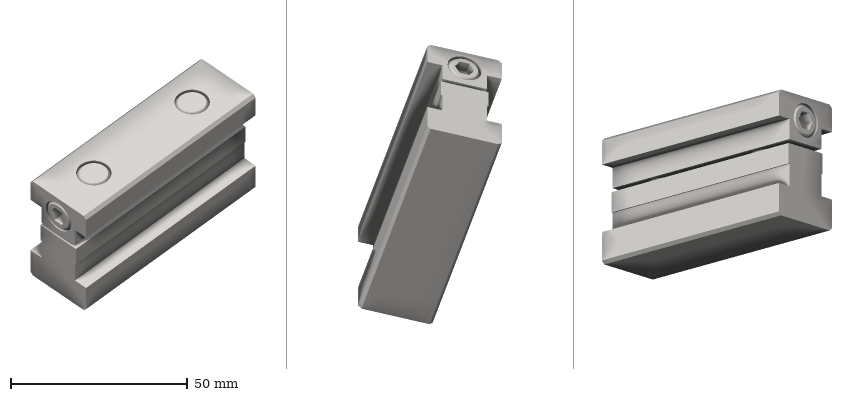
import cadquery as cq
import math

length = 69.0
width = 22.0
height = 37.3
edge_chamfer = 1.0

flange_top = 9.4
land_bottom = 16.1
rail_top = 22.15
jaw_bottom = 23.4
wing_bottom = 29.4
neck_width = 13.2
land_width = 14.0

fastener_diameter = 10.0
end_chamfer = 1.0
chamfer_angle = 45.0
pin_spacing = 40.0

screw_height = 30.35
hex_sides = 6
hex_flats = 5.0
hex_depth = 3.0
hex_corners = hex_flats / math.cos(math.pi / hex_sides)
drill_slope = math.radians(30)
drill_point_depth = hex_corners / 2 * math.tan(drill_slope)


def bar(bar_width, bottom, top):
    """Full-length rectangular bar centred on X and Y."""
    return cq.Workplane("XY", origin=(0, 0, bottom)).rect(bar_width, length).extrude(top - bottom)


def end_groove(plane):
    """Ring left around a chamfered fastener end inside its flush hole."""
    hole = plane.circle(fastener_diameter / 2).extrude(-end_chamfer)
    end_face_radius = fastener_diameter / 2 - end_chamfer
    fastener = plane.circle(end_face_radius).extrude(-end_chamfer, taper=-chamfer_angle)
    return hole.cut(fastener)


def make_rail():
    flange = bar(width, 0, flange_top).faces("<Z").edges("|Y").chamfer(edge_chamfer)
    neck = bar(neck_width, flange_top, land_bottom)
    land = bar(land_width, land_bottom, rail_top)
    return flange.union(neck).union(land)


def make_jaw():
    wings = bar(width, wing_bottom, height).faces(">Z").edges("|Y").chamfer(edge_chamfer)
    neck = bar(neck_width, jaw_bottom, wing_bottom)
    return wings.union(neck)


def make_hex_socket(plane):
    """Hexagonal socket ending in a conical drill point."""
    hexagon = plane.polygon(hex_sides, hex_corners).extrude(-hex_depth - drill_point_depth)
    bore = plane.circle(hex_corners / 2).extrude(-hex_depth)
    point = cq.Solid.makeCone(
        hex_corners / 2, 0, drill_point_depth,
        pnt=plane.plane.origin - plane.plane.zDir * hex_depth, dir=-plane.plane.zDir,
    )
    return hexagon.intersect(bore.union(cq.Workplane(point)))


result = make_rail().union(make_jaw())

for pin_y in (-pin_spacing / 2, pin_spacing / 2):
    bridge = cq.Workplane("XY", origin=(0, pin_y, rail_top))
    result = result.union(bridge.circle(fastener_diameter / 2).extrude(jaw_bottom - rail_top))
    pin_end = cq.Workplane("XY", origin=(0, pin_y, height))
    result = result.cut(end_groove(pin_end))

screw_end = cq.Workplane("XZ", origin=(0, -length / 2, screw_height))
result = result.cut(end_groove(screw_end))
result = result.cut(make_hex_socket(screw_end))